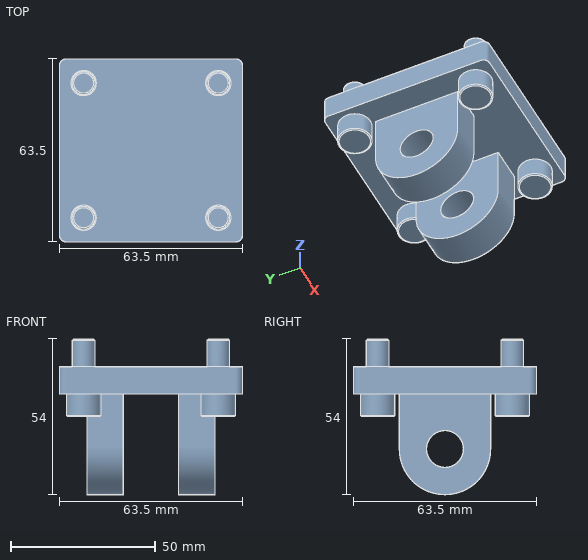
import cadquery as cq

PLATE_SIDE = 63.5
PLATE_THICKNESS = 9.5
CORNER_RADIUS = 2.35

LUG_THICKNESS = 12.7
LUG_GAP = 19.05
LUG_RADIUS = 15.9
LUG_BORE_DIAMETER = 12.7
LUG_BORE_DROP = 19.05

SCREW_SPACING = 46.7
SCREW_DIAMETER = 7.95
SCREW_HOLE_DIAMETER = 8.75
SCREW_PROJECTION = 9.5
SCREW_TIP_CHAMFER = 0.5
HEAD_DIAMETER = 11.95
HEAD_HEIGHT = 7.8
HEAD_CHAMFER_RADIAL = 0.5
HEAD_CHAMFER_HEIGHT = 0.3

HALF_SPACING = SCREW_SPACING / 2
SCREW_CENTERS = [(x, y) for x in (-HALF_SPACING, HALF_SPACING) for y in (-HALF_SPACING, HALF_SPACING)]


def make_plate():
    """Square plate with rounded corners and four screw clearance holes."""
    plate = (
        cq.Workplane("XY")
        .rect(PLATE_SIDE, PLATE_SIDE)
        .extrude(PLATE_THICKNESS)
        .edges("|Z")
        .fillet(CORNER_RADIUS)
    )
    holes = (
        cq.Workplane("XY")
        .pushPoints(SCREW_CENTERS)
        .circle(SCREW_HOLE_DIAMETER / 2)
        .extrude(PLATE_THICKNESS)
    )
    return plate.cut(holes)


def make_lug(start_x):
    """Round-ended lug with a cross bore, extending in +X from start_x."""
    return (
        cq.Workplane("YZ", origin=(start_x, 0, 0))
        .moveTo(-LUG_RADIUS, 0)
        .lineTo(-LUG_RADIUS, -LUG_BORE_DROP)
        .threePointArc((0, -LUG_BORE_DROP - LUG_RADIUS), (LUG_RADIUS, -LUG_BORE_DROP))
        .lineTo(LUG_RADIUS, 0)
        .close()
        .moveTo(0, -LUG_BORE_DROP)
        .circle(LUG_BORE_DIAMETER / 2)
        .extrude(LUG_THICKNESS)
    )


def make_bracket():
    """One-piece bracket: the plate and its pair of lugs."""
    bracket = make_plate()
    for start_x in (-LUG_GAP / 2 - LUG_THICKNESS, LUG_GAP / 2):
        bracket = bracket.union(make_lug(start_x))
    return bracket


def make_screw(x, y):
    """Cap screw with its head seated against the plate underside."""
    shank = (
        cq.Workplane("XY")
        .circle(SCREW_DIAMETER / 2)
        .extrude(PLATE_THICKNESS + SCREW_PROJECTION)
        .faces(">Z")
        .chamfer(SCREW_TIP_CHAMFER)
    )
    head_radius = HEAD_DIAMETER / 2
    head = (
        cq.Workplane("XZ")
        .polyline([
            (0, 0),
            (head_radius, 0),
            (head_radius, HEAD_CHAMFER_HEIGHT - HEAD_HEIGHT),
            (head_radius - HEAD_CHAMFER_RADIAL, -HEAD_HEIGHT),
            (0, -HEAD_HEIGHT),
        ])
        .close()
        .revolve(360, (0, 0), (0, 1))
    )
    return head.union(shank).translate((x, y, 0))


bracket = make_bracket()
screws = [make_screw(x, y) for x, y in SCREW_CENTERS]

result = cq.Compound.makeCompound([bracket.solids().val(), *[screw.solids().val() for screw in screws]])